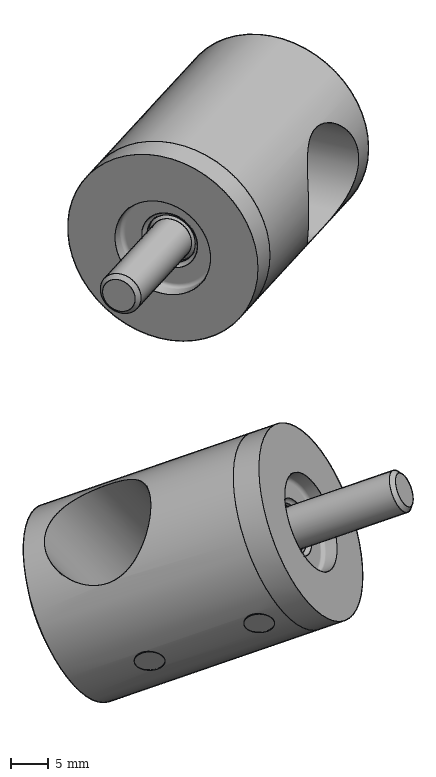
import cadquery as cq
import math

outer_radius = 14.0
total_length = 54.5
body_length = 40.0
stud_projection = total_length - body_length

disc_thickness = 4.0
recess_radius = 7.05
recess_depth = 2.25
recess_fillet = 0.55
disc_bore_radius = 3.55
disc_bore_round = 0.55

dome_height = 3.45
shoulder_y = body_length - dome_height
cross_hole_y = 25.0
cross_hole_diameter = 16.5

shank_radius = 3.0
tip_chamfer = 0.6
root_radius = disc_bore_radius
root_chamfer = root_radius - shank_radius
root_start_y = recess_depth + disc_bore_round
root_end_y = 12.0

screw_radius = 2.05
cross_screw_length = 4.0
stud_screw_y = 8.0
screw_specs = [
    (cross_hole_y, cross_screw_length),
    (stud_screw_y, outer_radius - root_radius),
]


def revolve_about_y(profile):
    """Turn a closed XY outline around the Y axis."""
    return profile.close().revolve(360, (0, 0, 0), (0, 1, 0))


def make_screw(y, length):
    """Plain set screw pointing up from the lowest line of the housing."""
    return cq.Workplane("XY", origin=(0, y, -outer_radius)).circle(screw_radius).extrude(length)


def make_stud():
    """Stud with a chamfered tip and a stepped root."""
    return revolve_about_y(
        cq.Workplane("XY")
        .moveTo(0, -stud_projection)
        .lineTo(shank_radius - tip_chamfer, -stud_projection)
        .lineTo(shank_radius, -stud_projection + tip_chamfer)
        .lineTo(shank_radius, root_start_y)
        .lineTo(root_radius, root_start_y + root_chamfer)
        .lineTo(root_radius, root_end_y)
        .lineTo(0, root_end_y)
    )


def make_disc():
    """Base disc with a filleted recess around a bore with a rounded rim."""
    return revolve_about_y(
        cq.Workplane("XY")
        .moveTo(recess_radius, 0)
        .lineTo(outer_radius, 0)
        .lineTo(outer_radius, disc_thickness)
        .lineTo(disc_bore_radius, disc_thickness)
        .lineTo(disc_bore_radius, recess_depth + disc_bore_round)
        .radiusArc((disc_bore_radius + disc_bore_round, recess_depth), disc_bore_round)
        .lineTo(recess_radius - recess_fillet, recess_depth)
        .radiusArc((recess_radius, recess_depth - recess_fillet), recess_fillet)
    )


def make_housing():
    """Domed cylinder with a cross hole, a blind stud bore and two screw holes."""
    dome_radius = (outer_radius**2 + dome_height**2) / (2 * dome_height)
    half_angle = math.asin(outer_radius / dome_radius) / 2
    dome_mid_x = dome_radius * math.sin(half_angle)
    dome_mid_y = body_length - dome_radius * (1 - math.cos(half_angle))
    blank = revolve_about_y(
        cq.Workplane("XY")
        .moveTo(0, root_end_y)
        .lineTo(root_radius, root_end_y)
        .lineTo(root_radius, disc_thickness)
        .lineTo(outer_radius, disc_thickness)
        .lineTo(outer_radius, shoulder_y)
        .threePointArc((dome_mid_x, dome_mid_y), (0, body_length))
    )
    cross_hole = (
        cq.Workplane("YZ")
        .center(cross_hole_y, 0)
        .circle(cross_hole_diameter / 2)
        .extrude(outer_radius, both=True)
    )
    housing = blank.cut(cross_hole)
    for y, length in screw_specs:
        housing = housing.cut(make_screw(y, length))
    return housing


housing = make_housing()
disc = make_disc()
stud = make_stud()
set_screws = [make_screw(y, length) for y, length in screw_specs]

result = cq.Compound.makeCompound(
    [housing.val(), disc.val(), stud.val(), *[screw.val() for screw in set_screws]]
)